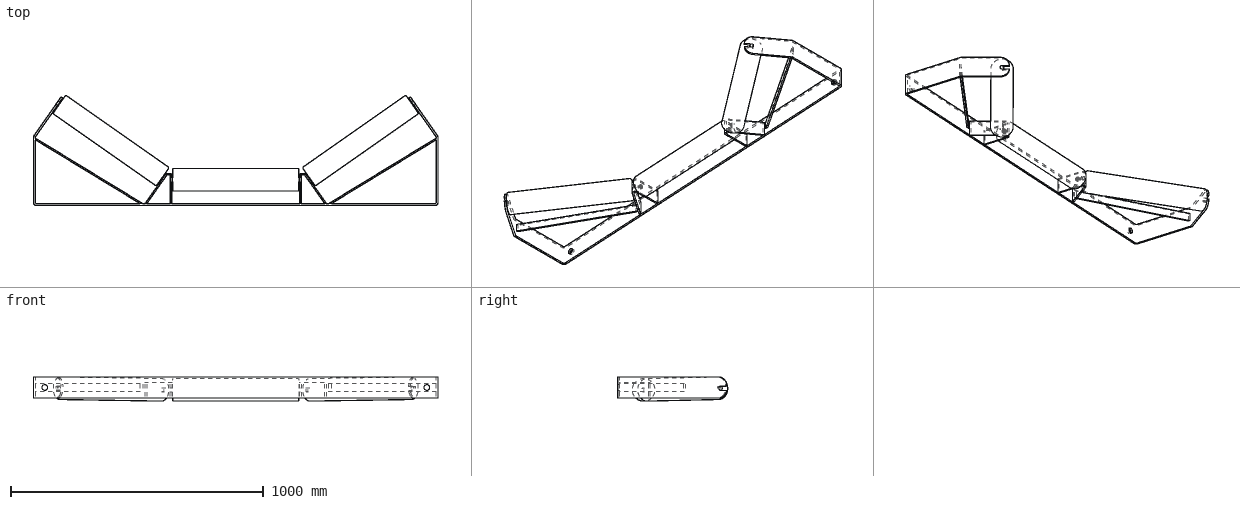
import cadquery as cq
import math

LENGTH = 1600.0
DEPTH = 435.0
HEIGHT = 96.0

FRAME_HEIGHT = 83.0
FRAME_BOTTOM = HEIGHT - FRAME_HEIGHT
FRAME_MID_Z = HEIGHT - FRAME_HEIGHT / 2
FRAME_THICKNESS = 8.0
FRAME_BEND_RADIUS = 13.0
SHOULDER_Y = 274.0
ARM_TOP_Y = 430.0
ARM_CORNER_RADIUS = 35.0
MOUNT_HOLE_X = 755.0
MOUNT_HOLE_DIAMETER = 22.0

TROUGH_ANGLE = 35.0
ROLLER_RADIUS = 45.0
ROLLER_LENGTH = 500.0
ROLLER_EDGE_RADIUS = 5.0
SHAFT_RADIUS = 8.0
MIDDLE_ROLLER_Y = 102.0
INNER_AXIS_Z = ROLLER_RADIUS
OUTER_AXIS_Z = 51.0
OUTER_END_X = 698.0

BRACKET_HEIGHT = 60.0
BRACKET_THICKNESS = 6.0
BRACKET_BEND_RADIUS = 8.0
BRACKET_TOP_Y = 128.0
ROLLER_GAP = 3.0

BRACE_HEIGHT = 32.0
BRACE_THICKNESS = 6.0
BRACE_FOOT_X = 366.0
BRACE_TOP_Y = 267.0

TRIM = 5.0

SLOPE = math.radians(TROUGH_ANGLE)
ALONG = cq.Vector(math.cos(SLOPE), math.sin(SLOPE), 0)
ACROSS = cq.Vector(-math.sin(SLOPE), math.cos(SLOPE), 0)

outer_end_y = (
    DEPTH
    - ROLLER_EDGE_RADIUS
    - (ROLLER_RADIUS - ROLLER_EDGE_RADIUS) * ACROSS.y
    + ROLLER_EDGE_RADIUS * ALONG.y
)
outer_point = cq.Vector(OUTER_END_X, outer_end_y, 0)
inner_point = outer_point - ALONG * ROLLER_LENGTH

side_inner = inner_point + cq.Vector(0, 0, INNER_AXIS_Z)
side_outer = outer_point + cq.Vector(0, 0, OUTER_AXIS_Z)
middle_right = cq.Vector(ROLLER_LENGTH / 2, MIDDLE_ROLLER_Y, INNER_AXIS_Z)
middle_left = cq.Vector(-ROLLER_LENGTH / 2, MIDDLE_ROLLER_Y, INNER_AXIS_Z)

shoulder = cq.Vector(LENGTH / 2, SHOULDER_Y, 0)
arm_tip = shoulder + ACROSS * ((ARM_TOP_Y - SHOULDER_Y) / ACROSS.y)

OUTER_SHAFT_LENGTH = (shoulder - outer_point).dot(ALONG)
INNER_SHAFT_LENGTH = ROLLER_GAP + BRACKET_THICKNESS


def mirrored(point):
    return cq.Vector(-point.x, point.y, point.z)


def both_sides(body):
    """The right-hand body and its left-hand copy, as separate solids."""
    return [body.val(), body.mirror("YZ").val()]


def rod(start, end, radius):
    axis = end - start
    return cq.Workplane(cq.Solid.makeCylinder(radius, axis.Length, start, axis))


def bent_strip(path, thickness, bottom, height, bend_radius):
    """Strip standing along Z on the left of a path in XY, with rounded bends."""
    legs = [(b - a).normalized() for a, b in zip(path, path[1:])]
    normals = [cq.Vector(-leg.y, leg.x, 0) for leg in legs]
    inside = [path[0] + normals[0] * thickness]
    for corner, before, after in zip(path[1:], normals, normals[1:]):
        inside.append(corner + (before + after) * (thickness / (1 + before.dot(after))))
    inside.append(path[-1] + normals[-1] * thickness)

    outline = [(p.x, p.y) for p in path + inside[::-1]]
    strip = cq.Workplane("XY").polyline(outline).close().extrude(height)
    for corners, radius in ((path, bend_radius), (inside, bend_radius - thickness)):
        for corner in corners[1:-1]:
            bend = cq.NearestToPointSelector((corner.x, corner.y, height / 2))
            strip = strip.edges("|Z").edges(bend).fillet(radius)
    return strip.translate((0, 0, bottom))


def shaft_slot():
    """Cutter for the open slot that takes the outer shaft end in the right arm."""
    axis = (side_outer - side_inner).normalized()
    plane = cq.Plane(origin=side_outer, xDir=ACROSS, normal=axis)
    reach = 2 * ROLLER_RADIUS
    depth = 2 * OUTER_SHAFT_LENGTH
    channel = (
        cq.Workplane(plane)
        .center(reach / 2, 0)
        .rect(reach, 2 * SHAFT_RADIUS)
        .extrude(depth)
    )
    return channel.union(rod(side_outer, side_outer + axis * depth, SHAFT_RADIUS))


def make_frame():
    """Base, sides and arms bent from one strip, with mounting holes and shaft slots."""
    right_half = [cq.Vector(LENGTH / 2, 0, 0), shoulder, arm_tip]
    left_half = [mirrored(p) for p in reversed(right_half)]
    frame = bent_strip(
        left_half + right_half,
        FRAME_THICKNESS, FRAME_BOTTOM, FRAME_HEIGHT, FRAME_BEND_RADIUS,
    )

    for side in (-1, 1):
        for z in (FRAME_BOTTOM, HEIGHT):
            corner = cq.NearestToPointSelector((side * arm_tip.x, arm_tip.y, z))
            sloping = frame.edges("(not |X) and (not |Y) and (not |Z)")
            frame = sloping.edges(corner).fillet(ARM_CORNER_RADIUS)
    slot = shaft_slot()
    frame = frame.cut(slot).cut(slot.mirror("YZ"))

    holes = (
        cq.Workplane("XZ", origin=(0, 0, FRAME_MID_Z))
        .pushPoints([(-MOUNT_HOLE_X, 0), (MOUNT_HOLE_X, 0)])
        .circle(MOUNT_HOLE_DIAMETER / 2)
        .extrude(-FRAME_THICKNESS)
    )
    return frame.cut(holes)


def make_roller(start, end, start_shaft, end_shaft):
    """Roller from start to end, with a shaft stub of given length at each end."""
    axis = (end - start).normalized()
    shell = rod(start, end, ROLLER_RADIUS).edges("%CIRCLE").fillet(ROLLER_EDGE_RADIUS)
    return shell.union(rod(start - axis * start_shaft, end + axis * end_shaft, SHAFT_RADIUS))


def make_bracket(frame, rollers):
    """Right-hand bracket, bored for the shafts of the middle and the side roller."""
    slant_face = inner_point - ALONG * ROLLER_GAP
    top = slant_face + ACROSS * ((BRACKET_TOP_Y - slant_face.y) / ACROSS.y)
    foot = slant_face + ACROSS * ((FRAME_THICKNESS - slant_face.y) / ACROSS.y - TRIM)
    leg_x = middle_right.x + ROLLER_GAP
    leg_top = cq.Vector(leg_x, BRACKET_TOP_Y, 0)
    leg_foot = cq.Vector(leg_x, FRAME_THICKNESS, 0)
    bracket = bent_strip(
        [foot, top, leg_top, leg_foot],
        BRACKET_THICKNESS, FRAME_BOTTOM, BRACKET_HEIGHT, BRACKET_BEND_RADIUS,
    )
    for roller in rollers:
        bracket = bracket.cut(roller)
    return bracket.cut(frame)


def make_brace(frame):
    """Right-hand brace from the base up to the side, trimmed flush at both ends."""
    foot = cq.Vector(BRACE_FOOT_X, FRAME_THICKNESS, 0)
    top = cq.Vector(LENGTH / 2 - FRAME_THICKNESS, BRACE_TOP_Y, 0)
    along = (top - foot).normalized()
    path = [top + along * TRIM, foot - along * TRIM]
    bottom = FRAME_MID_Z - BRACE_HEIGHT / 2
    brace = bent_strip(path, BRACE_THICKNESS, bottom, BRACE_HEIGHT, bend_radius=0)
    return brace.cut(frame)


frame = make_frame()
middle_roller = make_roller(middle_left, middle_right, INNER_SHAFT_LENGTH, INNER_SHAFT_LENGTH)
side_roller = make_roller(side_inner, side_outer, INNER_SHAFT_LENGTH, OUTER_SHAFT_LENGTH)
bracket = make_bracket(frame, [middle_roller, side_roller])
brace = make_brace(frame)

result = cq.Compound.makeCompound([
    frame.val(),
    middle_roller.val(),
    *both_sides(side_roller),
    *both_sides(bracket),
    *both_sides(brace),
])